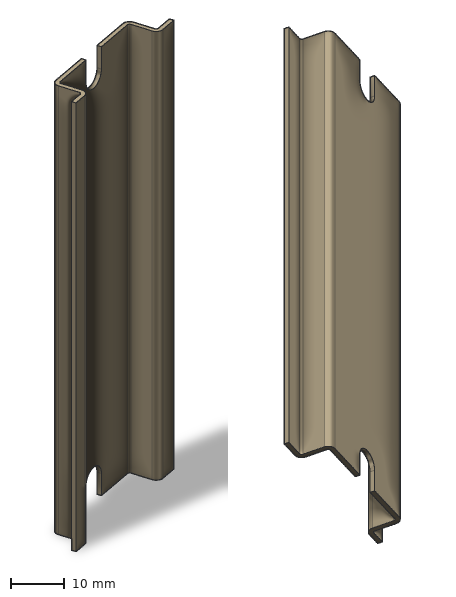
import cadquery as cq

length = 97.0
depth = 7.5
width = 35.0

thickness = 1.0
inner_radius = 0.5
outer_radius = inner_radius + thickness

web_width = 27.0
wide_flange = 4.5

slot_width = 5.5
slot_depth = 7.6
slot_offset = -0.5

web_face = -depth / 2
flange_face = depth / 2
rail_top = width / 2
rail_bottom = -width / 2
web_top = rail_top - wide_flange
web_bottom = web_top - web_width


def make_rail():
    """Extrude the folded sheet section, then round both sides of each bend."""
    web_back = web_face + thickness
    flange_front = flange_face - thickness
    outer_corners = [
        (flange_front, rail_bottom),
        (flange_front, web_bottom),
        (web_face, web_bottom),
        (web_face, web_top),
        (flange_front, web_top),
        (flange_front, rail_top),
    ]
    inner_corners = [
        (flange_face, rail_top),
        (flange_face, web_top - thickness),
        (web_back, web_top - thickness),
        (web_back, web_bottom + thickness),
        (flange_face, web_bottom + thickness),
        (flange_face, rail_bottom),
    ]
    section = cq.Workplane("XY").workplane(offset=-length / 2)
    rail = section.polyline(outer_corners + inner_corners).close().extrude(length)

    outside_bends = [outer_corners[2], outer_corners[3], inner_corners[1], inner_corners[4]]
    inside_bends = [outer_corners[1], outer_corners[4], inner_corners[2], inner_corners[3]]
    for corners, radius in ((outside_bends, outer_radius), (inside_bends, inner_radius)):
        for x, y in corners:
            rail = rail.edges(cq.selectors.NearestToPointSelector((x, y, 0))).fillet(radius)
    return rail


def make_slot_cutter(end):
    """Round-bottomed slot open at the top (end = 1) or bottom (end = -1) of the rail."""
    half_width = slot_width / 2
    edge = end * length / 2
    arc_start = edge - end * (slot_depth - half_width)
    arc_bottom = edge - end * slot_depth
    return (
        cq.Workplane("YZ")
        .workplane(offset=web_face)
        .moveTo(slot_offset - half_width, edge)
        .lineTo(slot_offset - half_width, arc_start)
        .threePointArc((slot_offset, arc_bottom), (slot_offset + half_width, arc_start))
        .lineTo(slot_offset + half_width, edge)
        .close()
        .extrude(thickness)
    )


result = make_rail()
for rail_end in (-1, 1):
    result = result.cut(make_slot_cutter(rail_end))